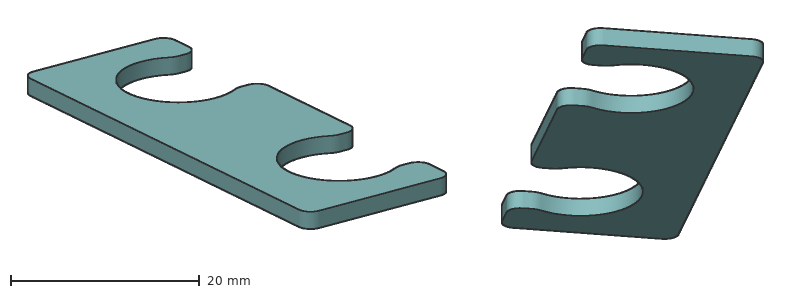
import cadquery as cq

length = 50.8
width = 19.05
thickness = 2.0
corner_radius = 1.5

seat_radius = 6.6
seat_spacing = 28.6
seat_height = 12.4
throat_width = 11.1
neck_radius = 2.55

back_y = width / 2
seat_y = seat_height - back_y
throat_half = throat_width / 2
ridge_y = seat_y + (seat_radius**2 - throat_half**2) ** 0.5
seat_centers = [(side * seat_spacing / 2, seat_y) for side in (-1, 1)]


def vertical_edges_at(body, points):
    """Select the vertical edges that pass through the given XY points."""
    edges = []
    for x, y in points:
        nearest = cq.selectors.NearestToPointSelector((x, y, thickness / 2))
        edges.append(body.edges(nearest).val())
    return body.newObject(edges)


def make_plate():
    return cq.Workplane("XY").rect(length, width).extrude(thickness)


def cut_seats(body):
    throat_length = back_y - seat_y
    throat_centers = [(x, y + throat_length / 2) for x, y in seat_centers]
    seats = cq.Workplane("XY").pushPoints(seat_centers).circle(seat_radius).extrude(thickness)
    throats = cq.Workplane("XY").pushPoints(throat_centers).rect(throat_width, throat_length).extrude(thickness)
    return body.cut(seats).cut(throats)


def round_edges(body):
    throat_sides = [x + side * throat_half for x, _ in seat_centers for side in (-1, 1)]
    ridges = [(x, ridge_y) for x in throat_sides]
    mouths = [(x, back_y) for x in throat_sides]
    corners = [(sx * length / 2, sy * back_y) for sx in (-1, 1) for sy in (-1, 1)]
    body = vertical_edges_at(body, ridges).fillet(neck_radius)
    return vertical_edges_at(body, mouths + corners).fillet(corner_radius)


result = round_edges(cut_seats(make_plate()))